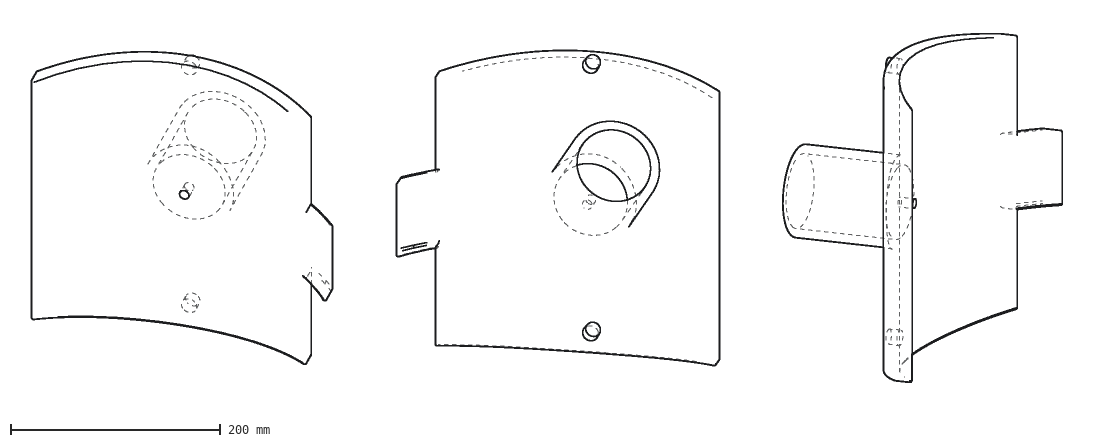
import cadquery as cq

outer_radius = 216.5
thickness = 15.2
inner_radius = outer_radius - thickness
plate_half_width = 137.2
plate_half_height = 149.9
side_half_height = 135.7
tab_reach = 167.8
tab_height = 74.5
edge_radius = 2.0

socket_diameter = 90.0
bore_diameter = 72.0
socket_length = 102.5
socket_root_radius = 4.0
socket_rim_radius = 1.2
center_hole_diameter = 9.5

pin_tip_diameter = 14.3
pin_base_diameter = 16.0
pin_length = 11.45
pin_offset = 134.8


def cylinder_y(diameter, y_start, y_end, z=0):
    """Cylinder parallel to Y at x = 0."""
    center = cq.Vector(0, y_start, z)
    return cq.Workplane(cq.Solid.makeCylinder(diameter / 2, y_end - y_start, center, cq.Vector(0, 1, 0)))


def make_plate():
    """Shell trimmed to the bowed front outline, with the tab on its +X side."""
    shell = (
        cq.Workplane("XY")
        .center(0, -outer_radius)
        .circle(outer_radius)
        .circle(inner_radius)
        .extrude(plate_half_height, both=True)
    )
    outline = (
        cq.Workplane("XZ")
        .moveTo(-plate_half_width, -side_half_height)
        .threePointArc((0, -plate_half_height), (plate_half_width, -side_half_height))
        .lineTo(plate_half_width, -tab_height / 2)
        .lineTo(tab_reach, -tab_height / 2)
        .lineTo(tab_reach, tab_height / 2)
        .lineTo(plate_half_width, tab_height / 2)
        .lineTo(plate_half_width, side_half_height)
        .threePointArc((0, plate_half_height), (-plate_half_width, side_half_height))
        .close()
        .extrude(outer_radius)
    )
    plate = shell.intersect(outline)
    inside_corners = plate.edges("|Y").edges(
        cq.selectors.BoxSelector(
            (plate_half_width - 3, -outer_radius, -tab_height / 2 - 3),
            (plate_half_width + 3, 0, tab_height / 2 + 3),
        )
    )
    return plate.edges().newObject(
        [edge for edge in plate.edges().vals() if not any(edge.isSame(c) for c in inside_corners.vals())]
    ).fillet(edge_radius)


def add_socket(body):
    """Round socket with a rounded rim and a fillet around its root."""
    socket = cylinder_y(socket_diameter, -thickness / 2, socket_length)
    socket = socket.faces(">Y").edges().fillet(socket_rim_radius)
    joined = body.union(socket)
    half_box = socket_diameter / 2 + 3
    root_box = cq.selectors.BoxSelector(
        (-half_box, -thickness, -half_box), (half_box, thickness, half_box), boundingbox=True
    )
    return joined.edges(root_box).fillet(socket_root_radius)


def make_pin(z):
    """Slightly tapered pin rooted in the plate."""
    root_depth = thickness / 2
    cone = cq.Solid.makeCone(
        pin_base_diameter / 2,
        pin_tip_diameter / 2,
        pin_length + root_depth,
        cq.Vector(0, -root_depth, z),
        cq.Vector(0, 1, 0),
    )
    return cq.Workplane(cone)


result = add_socket(make_plate())
for pin_z in (-pin_offset, pin_offset):
    result = result.union(make_pin(pin_z))

result = result.cut(cylinder_y(bore_diameter, 0, socket_length))
result = result.cut(cylinder_y(center_hole_diameter, -2 * thickness, socket_length))